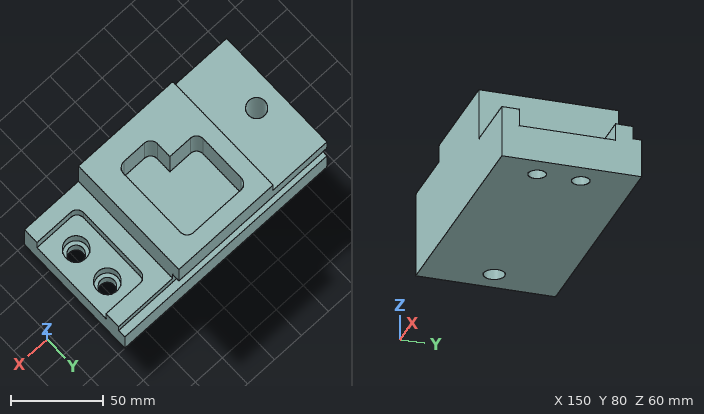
import cadquery as cq

length = 150.0
width = 80.0
height = 60.0
shelf_length = 40.0
left_shelf_height = 50.0
right_shelf_height = height / 2
right_shelf_start = length - shelf_length

corner_radius = 5.0

pocket_left = 50.0
pocket_right = 95.0
pocket_back = 70.0
pocket_front = 15.0
pocket_notch_x = 70.0
pocket_notch_y = 30.0
pocket_depth = 30.0

recess_left = 120.0
recess_front = 10.0
recess_back = 65.0
recess_depth = 10.0
recess_floor = right_shelf_height - recess_depth

bolt_x = 135.0
bolt_ys = (25.0, 50.0)
bolt_diameter = 10.0
counterbore_diameter = 15.0
counterbore_depth = 10.0

pin_x = 15.0
pin_y = width / 2
pin_diameter = 12.0

groove_bottom = 22.5
groove_height = 15.0
groove_depth = 5.0


def box_between(x_range, y_range, z_range):
    """Box filling the given (low, high) range on each axis."""
    sizes = [high - low for low, high in (x_range, y_range, z_range)]
    corner = (x_range[0], y_range[0], z_range[0])
    return cq.Workplane("XY").box(*sizes, centered=False).translate(corner)


def stepped_block():
    profile = [
        (0, 0),
        (length, 0),
        (length, right_shelf_height),
        (right_shelf_start, right_shelf_height),
        (right_shelf_start, height),
        (shelf_length, height),
        (shelf_length, left_shelf_height),
        (0, left_shelf_height),
    ]
    return cq.Workplane("XZ").polyline(profile).close().extrude(-width)


def l_pocket():
    """Two overlapping rounded boxes; the inner corner of the L stays sharp."""
    z_range = (height - pocket_depth, height)
    leg_back = (pocket_notch_y + pocket_back) / 2
    main = box_between((pocket_left, pocket_right), (pocket_notch_y, pocket_back), z_range)
    leg = box_between((pocket_notch_x, pocket_right), (pocket_front, leg_back), z_range)
    main = main.edges("|Z and (<X or >Y)").fillet(corner_radius)
    leg = leg.edges("|Z and <Y").fillet(corner_radius)
    return main.union(leg)


def end_recess():
    recess = box_between(
        (recess_left, length), (recess_front, recess_back), (recess_floor, right_shelf_height)
    )
    return recess.edges("|Z and <X").fillet(corner_radius)


def back_groove():
    return box_between(
        (0, length), (width - groove_depth, width), (groove_bottom, groove_bottom + groove_height)
    )


def counterbored_hole(x, y):
    hole = cq.Workplane("XY").center(x, y).circle(bolt_diameter / 2).extrude(recess_floor)
    counterbore = (
        cq.Workplane("XY", origin=(x, y, recess_floor - counterbore_depth))
        .circle(counterbore_diameter / 2)
        .extrude(counterbore_depth)
    )
    return hole.union(counterbore)


def pin_hole():
    return cq.Workplane("XY").center(pin_x, pin_y).circle(pin_diameter / 2).extrude(height)


result = stepped_block().cut(l_pocket()).cut(end_recess()).cut(back_groove()).cut(pin_hole())
for bolt_y in bolt_ys:
    result = result.cut(counterbored_hole(bolt_x, bolt_y))